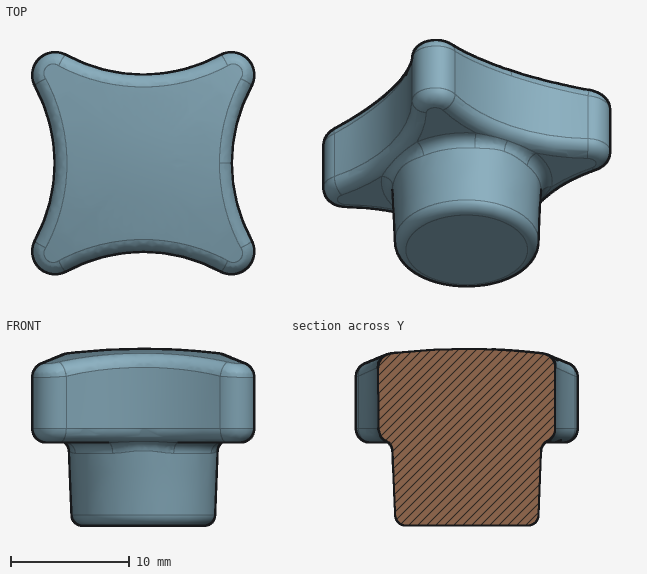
import cadquery as cq
import math

width = 18.81
height = 15.0

lobe_radius = 1.95
waist = 7.5
head_bottom = 7.03
dome_radius = 53.05
edge_round = 1.2

stem_base_radius = 6.05
stem_top_radius = 6.38
stem_base_round = 0.94
neck_round = 0.94

lobe_center = width / 2 - lobe_radius
hollow_radius = (lobe_center**2 + (waist - lobe_center) ** 2 - lobe_radius**2) / (
    2 * (lobe_radius - waist + lobe_center)
)
tangent_ratio = hollow_radius / (hollow_radius + lobe_radius)
tangent_along = lobe_center * tangent_ratio
tangent_out = waist + hollow_radius - (waist + hollow_radius - lobe_center) * tangent_ratio
lobe_tip = lobe_center + lobe_radius / math.sqrt(2)


def turned(x, y, quarter_turns):
    """Turn a point about the axis by whole quarter turns."""
    for _ in range(quarter_turns):
        x, y = -y, x
    return x, y


def make_head():
    """Four-lobed head with a spherical top and rounded edges."""
    outline = cq.Workplane("XY", origin=(0, 0, head_bottom))
    outline = outline.moveTo(tangent_out, -tangent_along)
    for turn in range(4):
        outline = outline.threePointArc(
            turned(waist, 0, turn), turned(tangent_out, tangent_along, turn)
        )
        outline = outline.threePointArc(
            turned(lobe_tip, lobe_tip, turn), turned(tangent_along, tangent_out, turn)
        )
    prism = outline.close().extrude(height - head_bottom)
    dome = cq.Workplane("XY", origin=(0, 0, height - dome_radius)).sphere(dome_radius)
    head = prism.intersect(dome)
    return head.edges("not |Z").fillet(edge_round)


def make_stem():
    """Slightly tapered round stem that runs up into the head."""
    stem_top = head_bottom + edge_round
    stem = (
        cq.Workplane("XZ")
        .lineTo(stem_base_radius, 0)
        .lineTo(stem_top_radius, stem_top)
        .lineTo(0, stem_top)
        .close()
        .revolve(360, (0, 0, 0), (0, 1, 0))
    )
    return stem.faces("<Z").edges().fillet(stem_base_round)


def round_neck(knob):
    """Blend the stem into the underside of the head."""
    margin = 0.19
    reach = stem_top_radius + margin
    low = head_bottom - margin
    high = head_bottom + margin
    neck = cq.selectors.BoxSelector(
        (-reach, -reach, low), (reach, reach, high), boundingbox=True
    )
    return knob.edges(neck).fillet(neck_round)


result = round_neck(make_head().union(make_stem()))